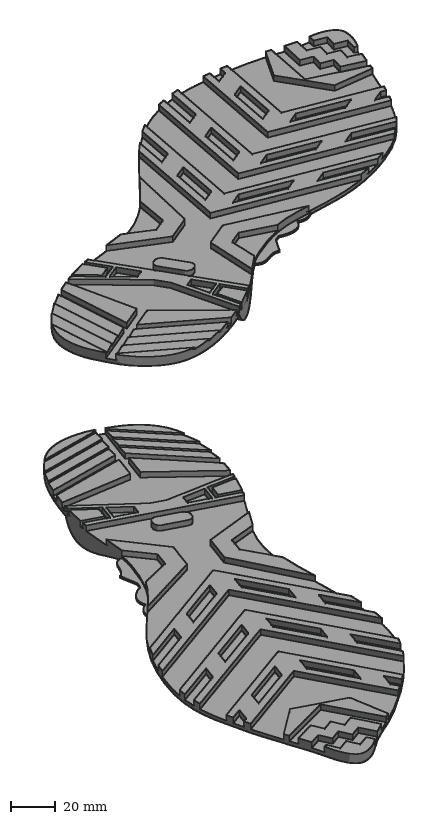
import cadquery as cq


length = 320.0
half_width = 55.0
overall_height = 12.5
base_thickness = 2.0
tread_height = 3.0
top = base_thickness + tread_height
fin_depth = overall_height - top
overrun = 3.2
reach = half_width + overrun

rear_edge = [
    (12.8, 1.3),
    (28.0, 9.5),
    (36.8, 25.5),
    (40.3, 49.5),
    (40.0, 67.2),
    (35.8, 90.2),
    (31.5, 108.8),
    (30.7, 123.2),
]
right_forefoot = [
    (33.0, 142.0),
    (42.2, 165.5),
    (52.0, 194.2),
    (half_width, 218.2),
    (51.8, 246.5),
    (40.3, 269.5),
    (25.3, 290.8),
    (14.5, 305.2),
]
left_forefoot = [
    (34.2, 142.0),
    (42.5, 165.5),
    (51.8, 194.2),
    (half_width, 218.8),
    (50.0, 246.5),
    (38.7, 269.5),
    (24.5, 290.8),
    (13.5, 305.5),
]
heel_point = (0.0, 0.0)
toe_point = (0.0, length)
toe_corner = (6.0, 316.7)


def mirrored(points):
    """Reflect points to the other side of the foot centreline."""
    return [(-x, y) for x, y in points]


def on_side(side, points):
    """Place points drawn for the +X side on the given side (-1 or 1)."""
    return [(side * x, y) for x, y in points]


def pad(points):
    """Straight-sided tread block standing on the base."""
    layer = cq.Workplane("XY").workplane(offset=base_thickness)
    return layer.polyline(points).close().extrude(tread_height)


def sole_prism(bottom, height):
    """Foot-shaped prism bounded by one smooth closed curve."""
    right = rear_edge + right_forefoot + [toe_corner]
    left = mirrored(rear_edge + left_forefoot + [toe_corner])
    loop = [heel_point] + right + [toe_point] + left[::-1]
    return cq.Workplane("XY").workplane(offset=bottom).spline(loop, periodic=True).close().extrude(height)


chevron_tips = [238.5, 197.5, 158.5]
chevron_width = 19.2
chevron_slopes = {-1: 0.91, 1: 1.07}
window_lead = 5.5
window_width = 8.3
inner_windows = {-1: (6.0, 25.3), 1: (6.5, 25.5)}
outer_window_start = 35.8


def slanted_strip(side, start, end, tip, width):
    """Corners of one arm of a chevron between two distances from the centreline."""
    slope = chevron_slopes[side]
    near = tip + slope * start
    far = tip + slope * end
    corners = [(start, near), (end, far), (end, far - width), (start, near - width)]
    return on_side(side, corners)


def chevron(tip):
    """V-shaped pad with two windows through each arm, the outer ones open at the sole edge."""
    body = cq.Workplane("XY")
    for side in (-1, 1):
        body = body.union(pad(slanted_strip(side, 0.0, reach, tip, chevron_width)))
    for side in (-1, 1):
        for start, end in (inner_windows[side], (outer_window_start, reach)):
            body = body.cut(pad(slanted_strip(side, start, end, tip - window_lead, window_width)))
    return body


toe_pad_base = 270.5
toe_pad_half_base = 14.5
toe_pad_half_top = 25.5
toe_pad_shoulder = 291.0
zigzag_center = 1.5
tooth_pitch = 9.5
tooth_height = 5.0
zigzag_arm_slope = 0.96
zigzag_valleys = [306.8, 297.2, 287.5]
toe_groove_tip = 271.3
toe_groove_slope = 0.92


def zigzag(valley):
    """Zigzag line across the toe: two teeth with a rising arm on each side."""
    half_pitch = tooth_pitch / 2
    teeth = []
    for step in range(-2, 3):
        rise = tooth_height if step % 2 else 0.0
        teeth.append((zigzag_center + step * half_pitch, valley + rise))
    arm_run = reach - tooth_pitch
    arm_end = valley + zigzag_arm_slope * arm_run
    return [(zigzag_center - reach, arm_end)] + teeth + [(zigzag_center + reach, arm_end)]


def toe_pad():
    """Tapered pad crossed by a zigzag groove near the tip and a V-bottomed groove behind it."""
    right = [
        (toe_pad_half_base, toe_pad_base),
        (toe_pad_half_top, toe_pad_shoulder),
        (toe_pad_half_top, length + overrun),
    ]
    body = pad(right + mirrored(right)[::-1])
    tip_line, upper_line, lower_line = [zigzag(valley) for valley in zigzag_valleys]
    groove_top = toe_groove_tip + toe_groove_slope * reach
    groove_line = [(-reach, groove_top), (0.0, toe_groove_tip), (reach, groove_top)]
    for far_line, near_line in ((tip_line, upper_line), (lower_line, groove_line)):
        body = body.cut(pad(far_line + near_line[::-1]))
    return body


def waist_band(side):
    """Raised bent band that opens toward the side edge."""
    outer_x, outer_low, outer_high = 9.0, 113.0, 130.0
    inner_x, inner_low, inner_high = 18.0, 116.5, 125.7
    outer_rise, inner_rise, outer_fall, inner_fall = 0.97, 0.88, 0.69, 0.67
    outer_run = reach - outer_x
    inner_run = reach - inner_x
    corners = [
        (reach, outer_high + outer_rise * outer_run),
        (outer_x, outer_high),
        (outer_x, outer_low),
        (reach, outer_low - outer_fall * outer_run),
        (reach, inner_low - inner_fall * inner_run),
        (inner_x, inner_low),
        (inner_x, inner_high),
        (reach, inner_high + inner_rise * inner_run),
    ]
    return pad(on_side(side, corners))


def oval_boss():
    """Small rounded block between the waist and the heel."""
    boss_y, boss_length, boss_width, corner = 88.3, 19.0, 8.0, 3.2
    boss = cq.Workplane("XY").workplane(offset=base_thickness).center(0, boss_y)
    return boss.rect(boss_length, boss_width).extrude(tread_height).edges("|Z").fillet(corner)


bar_top = 80.3
pocket_top = 77.5
bar_flat = 4.0
bar_low = 71.7
bar_slope = 0.32
groove_width = 2.0


def heel_bar():
    """Bar across the heel front; each half has a pocket and a groove around an edge island."""
    roof_end = bar_low - bar_slope * (reach - bar_flat)
    right = [(bar_flat, bar_low), (reach, roof_end), (reach, bar_top)]
    body = pad(right + mirrored(right)[::-1])
    pocket_inner, pocket_outer, pocket_low = 11.8, 23.7, 72.0
    groove_x, groove_low = 25.3, 67.5
    island_x = groove_x + groove_width
    island_top = pocket_top - groove_width
    island_low = groove_low + groove_width / 2
    for side in (-1, 1):
        pocket = [
            (pocket_inner, pocket_top),
            (pocket_outer, pocket_top),
            (pocket_outer, pocket_low - bar_slope * (pocket_outer - pocket_inner)),
            (pocket_inner, pocket_low),
        ]
        groove = [
            (reach, pocket_top),
            (groove_x, pocket_top),
            (groove_x, groove_low),
            (reach, groove_low - bar_slope * (reach - groove_x)),
            (reach, island_low - bar_slope * (reach - island_x)),
            (island_x, island_low),
            (island_x, island_top),
            (reach, island_top),
        ]
        for corners in (pocket, groove):
            body = body.cut(pad(on_side(side, corners)))
    return body


slot_half = 2.4
front_pad_top = 43.5
front_pad_low = 29.5
front_pad_slope = 0.35
rib_slope = 0.53
rib_start = 25.0
rib_pitch = 8.0
rib_count = 3
rib_drop = 1.0


def sloped_rib_cut(side, start):
    """Wedge that lowers one heel rib gradually toward its rear edge."""
    across = cq.Vector(-side * rib_slope, 1, 0).normalized()
    along = across.cross(cq.Vector(0, 0, 1))
    rib_width = rib_pitch * across.y
    line_origin = (0, start - rib_slope * slot_half, top)
    plane = cq.Plane(origin=line_origin, xDir=across.toTuple(), normal=along.toTuple())
    wedge = [(0.0, 0.0), (-rib_width, 0.0), (-rib_width, -rib_drop)]
    return cq.Workplane(plane).polyline(wedge).close().extrude(2 * reach, both=True)


def heel_pads(side):
    """Front pad and sawtooth rear pad on one side of the centre slot."""
    run = reach - slot_half
    front = [
        (slot_half, front_pad_top),
        (reach, front_pad_top + front_pad_slope * run),
        (reach, front_pad_low + rib_slope * run),
        (slot_half, front_pad_low),
    ]
    rear = [
        (slot_half, rib_start),
        (reach, rib_start + rib_slope * run),
        (reach, -overrun),
        (slot_half, -overrun),
    ]
    ribs = pad(on_side(side, rear))
    for index in range(rib_count):
        ribs = ribs.cut(sloped_rib_cut(side, rib_start - index * rib_pitch))
    return ribs.union(pad(on_side(side, front)))


fin_front = 115.8
fin_rear = 60.8
fin_inner_x = 30.0
fin_bend = 89.5
lip_thickness = 1.0
lip_inner_x = 28.8
lip_rear = 107.5
lip_front = 161.2


def arch_fin():
    """Fin under the waist, curved in depth and bounded outside by the sole edge."""
    depth_curve = [(104.3, -1.3), (93.5, -4.5), (77.5, -fin_depth), (70.5, -7.0), (fin_rear, 0)]
    profile = (
        cq.Workplane("YZ")
        .moveTo(fin_front, base_thickness)
        .lineTo(fin_front, 0)
        .spline(depth_curve, includeCurrent=True)
        .lineTo(fin_rear, base_thickness)
        .close()
        .extrude(reach)
    )
    inner_curve = [(32.0, 77.5), (34.5, 68.8), (40.3, fin_rear)]
    plan = (
        cq.Workplane("XY")
        .workplane(offset=-fin_depth)
        .moveTo(fin_inner_x, fin_front)
        .lineTo(fin_inner_x, fin_bend)
        .spline(inner_curve, includeCurrent=True)
        .lineTo(reach, fin_rear)
        .lineTo(reach, fin_front)
        .close()
        .extrude(overall_height)
    )
    return profile.intersect(plan).intersect(sole_prism(-fin_depth, overall_height))


def arch_lip():
    """Thin scalloped lip standing out beside the waist."""
    return (
        cq.Workplane("XY")
        .moveTo(lip_inner_x, lip_rear)
        .lineTo(32.3, lip_rear)
        .spline([(35.8, 113.5), (36.5, 119.3), (38.5, 122.5)], includeCurrent=True)
        .lineTo(33.5, 131.5)
        .lineTo(33.5, 135.3)
        .spline([(37.0, 139.5), (39.0, 145.5), (37.0, 151.0)], includeCurrent=True)
        .spline([(39.7, 154.5), (40.0, lip_front)], includeCurrent=True)
        .lineTo(lip_inner_x, lip_front)
        .close()
        .extrude(lip_thickness)
    )


treads = toe_pad().union(oval_boss()).union(heel_bar())
for chevron_tip in chevron_tips:
    treads = treads.union(chevron(chevron_tip))
for foot_side in (-1, 1):
    treads = treads.union(waist_band(foot_side)).union(heel_pads(foot_side))

layer_edge = [(reach, -overrun), (reach, length + overrun)]
tread_layer = pad(layer_edge + mirrored(layer_edge)[::-1])
recesses = tread_layer.cut(treads)
result = sole_prism(0, top).cut(recesses).union(arch_fin()).union(arch_lip())